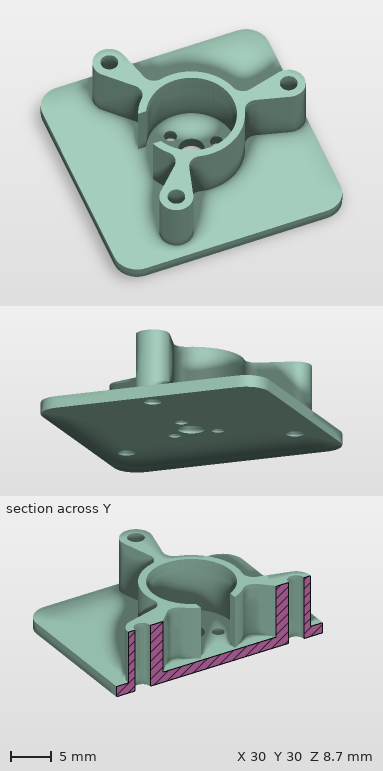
import cadquery as cq
import math

plate_side = 30.0
plate_thickness = 1.5
plate_corner_radius = 3.0

total_height = 8.7
wall_height = total_height - plate_thickness
ring_outer_radius = 6.6
ring_inner_radius = 5.6
ring_gap_width = 4.95

arm_angles = (90.0, 210.0, 330.0)
arm_head_radius = 2.1
arm_hole_distance = plate_side / 2 - arm_head_radius
arm_side_slope = 15.0
arm_root_distance = 6.0
arm_fillet_radius = 1.5

arm_hole_diameter = 2.2
centre_hole_diameter = 3.3
screw_hole_diameter = 1.6
screw_hole_distance = 3.3


def polar_points(distance):
    """Points on the three arm directions at a distance from the centre."""
    return [
        (distance * math.cos(math.radians(angle)), distance * math.sin(math.radians(angle)))
        for angle in arm_angles
    ]


def make_plate():
    plate = cq.Workplane("XY").rect(plate_side, plate_side).extrude(plate_thickness)
    return plate.edges("|Z").fillet(plate_corner_radius)


def make_arm(angle):
    """One arm with sides tangent to its head, turned to the given angle."""
    slope = math.radians(arm_side_slope)
    tangent_x = arm_hole_distance - arm_head_radius * math.sin(slope)
    tangent_y = arm_head_radius * math.cos(slope)
    root_half_width = tangent_y - (tangent_x - arm_root_distance) * math.tan(slope)
    arm = (
        cq.Workplane("XY", origin=(0, 0, plate_thickness))
        .moveTo(arm_root_distance, -root_half_width)
        .lineTo(tangent_x, -tangent_y)
        .threePointArc((arm_hole_distance + arm_head_radius, 0), (tangent_x, tangent_y))
        .lineTo(arm_root_distance, root_half_width)
        .close()
        .extrude(wall_height)
    )
    return arm.rotate((0, 0, 0), (0, 0, 1), angle)


def make_ring_with_arms():
    wall_base = cq.Workplane("XY", origin=(0, 0, plate_thickness))
    body = wall_base.circle(ring_outer_radius).extrude(wall_height)
    for angle in arm_angles:
        body = body.union(make_arm(angle))

    corner_zone = cq.selectors.BoxSelector(
        (-ring_outer_radius, -ring_outer_radius, 0),
        (ring_outer_radius, ring_outer_radius, total_height),
    )
    body = body.edges("|Z").edges(corner_zone).fillet(arm_fillet_radius)

    bore = wall_base.circle(ring_inner_radius).extrude(wall_height)
    gap = wall_base.center(0, -ring_outer_radius / 2).rect(ring_gap_width, ring_outer_radius)
    return body.cut(bore).cut(gap.extrude(wall_height))


def make_holes():
    base = cq.Workplane("XY")
    centre_hole = base.circle(centre_hole_diameter / 2).extrude(total_height)
    screw_holes = (
        base.pushPoints(polar_points(screw_hole_distance))
        .circle(screw_hole_diameter / 2)
        .extrude(total_height)
    )
    arm_holes = (
        base.pushPoints(polar_points(arm_hole_distance))
        .circle(arm_hole_diameter / 2)
        .extrude(total_height)
    )
    return centre_hole.union(screw_holes).union(arm_holes)


result = make_plate().union(make_ring_with_arms()).cut(make_holes())